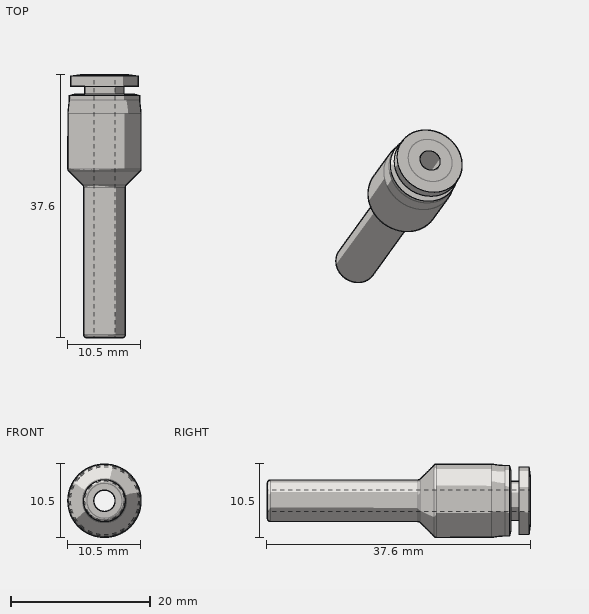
import cadquery as cq

total_length = 37.65
cap_length = 1.7
crown_height = 0.23
neck_length = 1.1
rim_bevel_length = 0.23
rim_band_length = 0.65
taper_length = 1.92
barrel_length = 8.1

cap_radius = 4.85
crown_radius = 3.28
neck_radius = 2.82
rim_face_radius = 4.25
rim_radius = 5.05
barrel_radius = 10.5 / 2
stem_radius = 6.0 / 2
bore_radius = 1.5

shoulder_round = 0.4
stem_root_round = 0.5
stem_tip_round = 0.5

cap_end = total_length / 2
stem_tip = -total_length / 2
cap_edge = cap_end - crown_height
cap_underside = cap_end - cap_length
rim_face = cap_underside - neck_length
rim_edge = rim_face - rim_bevel_length
taper_start = rim_edge - rim_band_length
barrel_start = taper_start - taper_length
shoulder_start = barrel_start - barrel_length
shoulder_end = shoulder_start - (barrel_radius - stem_radius)


edge_search_margin = 0.05


def circle_edge_at(body, radius, y):
    """Select the circular edge of the given radius around Y at station y."""
    reach = radius + edge_search_margin
    lower = (-reach, y - edge_search_margin, -reach)
    upper = (reach, y + edge_search_margin, reach)
    return body.edges(
        cq.selectors.BoxSelector(lower, upper, boundingbox=True)
    )


profile = [
    (0, stem_tip),
    (stem_radius, stem_tip),
    (stem_radius, shoulder_end),
    (barrel_radius, shoulder_start),
    (barrel_radius, barrel_start),
    (rim_radius, taper_start),
    (rim_radius, rim_edge),
    (rim_face_radius, rim_face),
    (neck_radius, rim_face),
    (neck_radius, cap_underside),
    (cap_radius, cap_underside),
    (cap_radius, cap_edge),
    (crown_radius, cap_end),
    (0, cap_end),
]
body = cq.Workplane("XY").polyline(profile).close().revolve(360, (0, 0), (0, 1))

body = circle_edge_at(body, barrel_radius, shoulder_start).fillet(shoulder_round)
body = circle_edge_at(body, stem_radius, shoulder_end).fillet(stem_root_round)
body = circle_edge_at(body, stem_radius, stem_tip).fillet(stem_tip_round)

bore = cq.Workplane("XZ", origin=(0, cap_end, 0)).circle(bore_radius).extrude(total_length)
result = body.cut(bore)